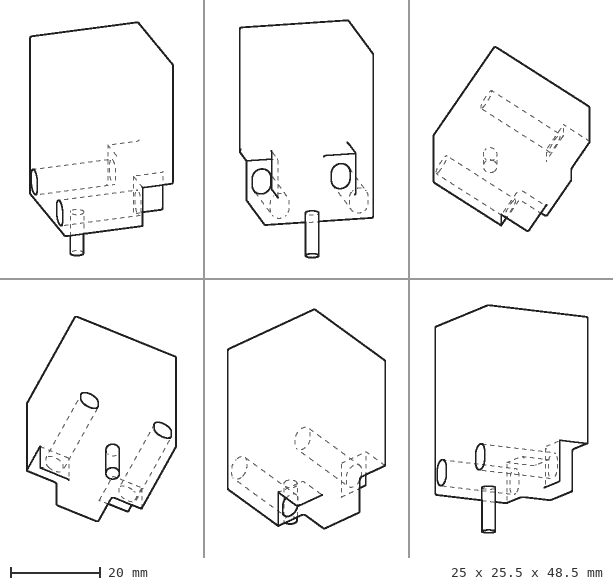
import cadquery as cq

width = 25.0
depth = 25.5
total_height = 48.5
cable_length = 10.0
body_height = total_height - cable_length
edge_radius = 0.5

cable_diameter = 3.0
cable_y = -5.75

slot_spacing = 18.05
slot_width = 4.25
slot_height = 5.8
slot_center_z = 4.45

recess_width = 7.28
recess_depth = 7.25
recess_height = 9.5


def make_recess(side):
    """Corner recess cutter, rounded where the web meets the recess roof and front wall."""
    inner_face = ">X" if side < 0 else "<X"
    return (
        cq.Workplane("XY")
        .box(recess_width, recess_depth, recess_height, centered=(True, True, False))
        .faces(inner_face)
        .edges(">Z or <Y")
        .fillet(edge_radius)
        .translate((side * (width - recess_width) / 2, (depth - recess_depth) / 2, 0))
    )


def make_body():
    """Block with both rear recesses; outer edges rounded, recess rims on the sides sharp."""
    body = cq.Workplane("XY").box(width, depth, body_height, centered=(True, True, False))
    for side in (-1, 1):
        body = body.cut(make_recess(side))
    return body.faces("<Z or >Z or <Y or >Y").edges().fillet(edge_radius)


def make_slot(x):
    """Round-ended slot cutter running through the full depth."""
    return (
        cq.Workplane("XZ", origin=(x, 0, slot_center_z))
        .slot2D(slot_height, slot_width, 90)
        .extrude(depth, both=True)
    )


def make_cable():
    """Round cable stub, started inside the body so that it fuses."""
    return (
        cq.Workplane("XY", origin=(0, cable_y, -cable_length))
        .circle(cable_diameter / 2)
        .extrude(cable_length + edge_radius)
    )


result = make_body()
for side in (-1, 1):
    result = result.cut(make_slot(side * slot_spacing / 2))
result = result.union(make_cable())